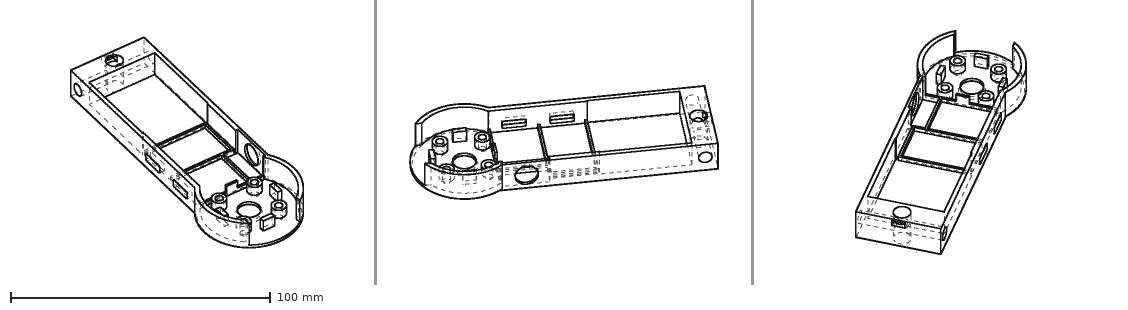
import cadquery as cq

length = 117.3
height = 13.0
body_width = 34.4
head_radius = 21.0
head_x = length - head_radius
floor = 2.0
switch_floor = 1.2
head_wall = 2.0
head_inner_radius = head_radius - head_wall
head_chamfer = 0.7
head_opening = 23.7

rib = 0.9
rib_top = 3.8
battery_start = 10.0
battery_end = 46.1
board_end = 65.5
port_end = 84.0
battery_half_width = 15.4
board_half_width = 15.0
port_back = 16.1
board_rib_back = 14.3
port_rib_back = 9.4

boss_spacing = 16.5
boss_offset = boss_spacing / 2
boss_diameter = 6.0
boss_hole = 3.0
boss_top = 6.0
shaft_hole = 9.2
tab_offset = 12.5
tab_length = 5.3
tab_thickness = 2.0
tab_top = 7.0

strap_x = 4.9
strap_hole = 6.8
cross_hole = 5.2
end_slot_width = 5.4
end_slot_bottom = 9.7
end_slot_top = 12.1
port_length = 9.4
port_bottom = 3.5
port_height = 3.5
port_corner = 0.6
port_centers = (55.8, 74.6)
switch_x = port_centers[1]
switch_hole = 9.0


def block(x0, x1, y0, y1, z0, z1):
    """Box between opposite corner coordinates."""
    return cq.Workplane("XY").box(x1 - x0, y1 - y0, z1 - z0, centered=False).translate((x0, y0, z0))


def cylinder(x, y, diameter, z0, z1):
    """Vertical cylinder between two heights."""
    return cq.Workplane("XY", origin=(x, y, z0)).circle(diameter / 2).extrude(z1 - z0)


def shell():
    """Body and round head, hollowed down to the floor."""
    head = cylinder(head_x, 0, 2 * head_radius, 0, height).faces("<Z").chamfer(head_chamfer)
    shape = block(0, head_x - head_inner_radius / 2, -body_width / 2, body_width / 2, 0, height).union(head)
    cavities = (
        (battery_start, battery_end, -battery_half_width, battery_half_width),
        (battery_end, head_x, -board_half_width, board_half_width),
        (board_end, port_end, -board_half_width, port_back),
    )
    for start, end, front, back in cavities:
        shape = shape.cut(block(start, end, front, back, floor, height))
    shape = shape.cut(block(board_end, port_end, port_rib_back, port_back, switch_floor, floor))
    shape = shape.cut(cylinder(head_x, 0, 2 * head_inner_radius, floor, height))
    return shape.cut(block(head_x, length, -head_opening / 2, head_opening / 2, floor, height))


def ribs():
    """Low ribs that frame the compartments."""
    front = -board_half_width
    shape = block(battery_end, battery_end + rib, front, board_rib_back, floor, rib_top)
    shape = shape.union(block(board_end - rib, board_end, front, board_rib_back, floor, rib_top))
    shape = shape.union(block(battery_end, board_end, board_rib_back - rib, board_rib_back, floor, rib_top))
    shape = shape.union(block(board_end, port_end, port_rib_back - rib, port_rib_back, floor, rib_top))
    return shape.union(block(port_end, port_end + rib, front, board_half_width, floor, rib_top))


def tabs():
    """Upright tabs around the shaft hole, one of them standing on the last rib."""
    reach = tab_length / 2
    half = tab_thickness / 2
    shape = block(port_end, port_end + rib, -reach, reach, floor, tab_top)
    x = head_x + tab_offset
    shape = shape.union(block(x - half, x + half, -reach, reach, floor, tab_top))
    for y in (-tab_offset, tab_offset):
        shape = shape.union(block(head_x - reach, head_x + reach, y - half, y + half, floor, tab_top))
    return shape


def add_bosses(shape):
    """Four drilled screw bosses around the shaft hole."""
    for dx in (-boss_offset, boss_offset):
        for y in (-boss_offset, boss_offset):
            shape = shape.union(cylinder(head_x + dx, y, boss_diameter, floor, boss_top))
            shape = shape.cut(cylinder(head_x + dx, y, boss_hole, 0, boss_top))
    return shape


def wall_openings():
    """Cord holes in the plain end, port slots in the -Y wall and a round hole in the +Y wall."""
    shape = cylinder(strap_x, 0, strap_hole, 0, height)
    cross = cq.Workplane("XZ", origin=(strap_x, 0, height / 2)).circle(cross_hole / 2)
    shape = shape.union(cross.extrude(body_width / 2, both=True))
    shape = shape.union(
        block(0, strap_x, -end_slot_width / 2, end_slot_width / 2, end_slot_bottom, end_slot_top)
    )
    for x in port_centers:
        port = block(
            x - port_length / 2, x + port_length / 2, -body_width / 2, -board_half_width,
            port_bottom, port_bottom + port_height,
        )
        shape = shape.union(port.edges("|Y").fillet(port_corner))
    switch = cq.Workplane("XZ", origin=(switch_x, body_width / 2, height / 2)).circle(switch_hole / 2)
    return shape.union(switch.extrude(body_width / 2 - port_back))


def shaft_opening():
    """Central hole in the head floor, chamfered on the underside."""
    mouth = cq.Workplane(cq.Solid.makeCone(
        shaft_hole / 2 + head_chamfer, shaft_hole / 2, head_chamfer, pnt=cq.Vector(head_x, 0, 0)
    ))
    return cylinder(head_x, 0, shaft_hole, 0, floor).union(mouth)


result = add_bosses(shell().union(ribs()).union(tabs()))
result = result.cut(shaft_opening()).cut(wall_openings())